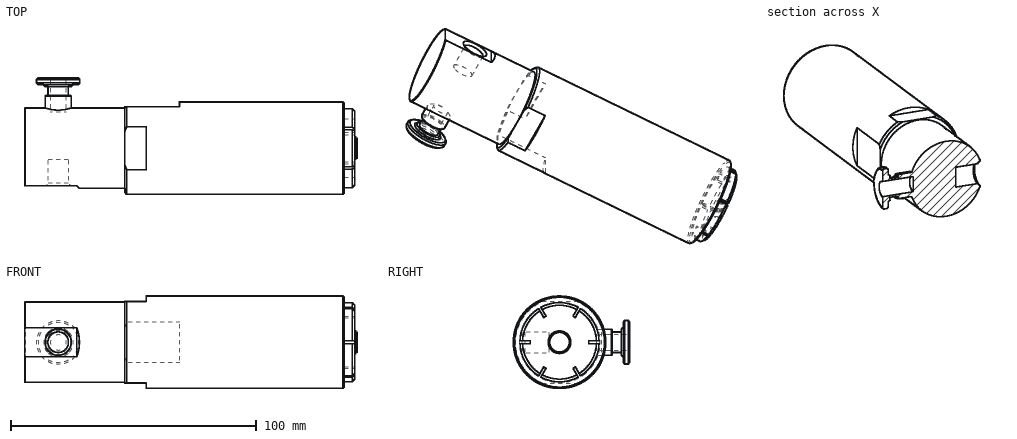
import cadquery as cq

LENGTH = 135.4
SLEEVE_START = 40.7
SLEEVE_END = 130.0
NUT_END = 134.3
HUB_STEP = 134.7
PORT_X = 13.7

BARREL_DIA = 32.8
BARREL_EDGE = 0.3
SLEEVE_DIA = 37.6
SLEEVE_FRONT_EDGE = 0.8
SLEEVE_REAR_EDGE = 0.5
NUT_DIA = 32.2
NUT_EDGE = 1.1
HUB_DIA = 9.2
HUB_TIP_DIA = 8.0

SLOT_COUNT = 6
SLOT_WIDTH = 1.1
SLOT_FLOOR_DIA = 23.8

WRENCH_FLAT_HEIGHT = 16.7
WRENCH_FLAT_END = 49.4
BACK_FLAT_DEPTH = 16.9
BACK_FLAT_END = 63.0

PORT_FLAT_DEPTH = 15.3
PORT_FLAT_END = 21.3
PORT_DIA = 8.4
PORT_MOUTH_DIA = 10.7
PORT_DEPTH = 10.8

FITTING_DIA = 10.7
FITTING_NECK_DIA = 8.4
FITTING_BORE_DIA = 6.4
FITTING_BORE_FLOOR = 14.9
FITTING_BASE_TOP = 21.5
FITTING_BASE_EDGE = 0.4
FLANGE_COLLAR_BOTTOM = 25.0
FLANGE_BOTTOM = 25.9
FLANGE_TOP = 28.5
FLANGE_DIA = 17.7
FLANGE_CONE_DIA = 11.9
FLANGE_EDGE = 0.7


def cylinder_x(dia, start, end):
    """Round bar on the X axis between two stations."""
    return cq.Workplane("YZ", origin=(start, 0, 0)).circle(dia / 2).extrude(end - start)


def cylinder_y(dia, start, end):
    """Round bar on the port axis between two Y positions."""
    plane = cq.Plane(origin=(PORT_X, start, 0), xDir=(1, 0, 0), normal=(0, 1, 0))
    return cq.Workplane(plane).circle(dia / 2).extrude(end - start)


def cone_y(start_dia, start, end_dia, end):
    """Round taper on the port axis between two Y positions."""
    base = cq.Vector(PORT_X, start, 0)
    taper = cq.Solid.makeCone(start_dia / 2, end_dia / 2, end - start, base, cq.Vector(0, 1, 0))
    return cq.Workplane(taper)


def make_barrel():
    """Front barrel with the flat and its sloped run-out on the -Y side."""
    barrel = cylinder_x(BARREL_DIA, 0, SLEEVE_END).faces("<X").chamfer(BARREL_EDGE)
    reach = BARREL_DIA
    run_out = reach - PORT_FLAT_DEPTH
    flat = (
        cq.Workplane("XY", origin=(0, 0, -reach / 2))
        .moveTo(0, -PORT_FLAT_DEPTH)
        .lineTo(PORT_FLAT_END, -PORT_FLAT_DEPTH)
        .lineTo(PORT_FLAT_END + run_out, -reach)
        .lineTo(0, -reach)
        .close()
        .extrude(reach)
    )
    return barrel.cut(flat)


def make_sleeve():
    """Main sleeve with two wrench flats and one longer flat on the +Y side."""
    sleeve = cylinder_x(SLEEVE_DIA, SLEEVE_START, SLEEVE_END)
    sleeve = sleeve.faces("<X").chamfer(SLEEVE_FRONT_EDGE).faces(">X").chamfer(SLEEVE_REAR_EDGE)
    wrench_gap = cq.Workplane("XY").box(
        WRENCH_FLAT_END, SLEEVE_DIA, SLEEVE_DIA, centered=(False, True, False)
    )
    for angle in (0, 180):
        cutter = wrench_gap.translate((0, 0, WRENCH_FLAT_HEIGHT))
        sleeve = sleeve.cut(cutter.rotate((0, 0, 0), (1, 0, 0), angle))
    back_gap = cq.Workplane("XY", origin=(0, BACK_FLAT_DEPTH, 0)).box(
        BACK_FLAT_END, SLEEVE_DIA, SLEEVE_DIA, centered=(False, False, True)
    )
    return sleeve.cut(back_gap)


def make_nut():
    """Slotted rear nut with a stepped hub."""
    nut = cylinder_x(NUT_DIA, SLEEVE_END, NUT_END).faces(">X").chamfer(NUT_EDGE)
    slot = cq.Workplane("XY", origin=(SLEEVE_END, SLOT_FLOOR_DIA / 2, 0)).box(
        NUT_END - SLEEVE_END, NUT_DIA, SLOT_WIDTH, centered=(False, False, True)
    )
    for i in range(SLOT_COUNT):
        nut = nut.cut(slot.rotate((0, 0, 0), (1, 0, 0), i * 360 / SLOT_COUNT))
    hub = cylinder_x(HUB_DIA, SLEEVE_END, HUB_STEP)
    hub_tip = cylinder_x(HUB_TIP_DIA, SLEEVE_END, LENGTH)
    return nut.union(hub).union(hub_tip)


def make_fitting():
    """Flanged tube fitting standing on the +Y side of the barrel."""
    base = cylinder_y(FITTING_DIA, 0, FITTING_BASE_TOP).faces(">Y").chamfer(FITTING_BASE_EDGE)
    neck = cylinder_y(FITTING_NECK_DIA, 0, FLANGE_TOP)
    collar = cone_y(FITTING_DIA, FLANGE_COLLAR_BOTTOM, FLANGE_CONE_DIA, FLANGE_BOTTOM)
    flange = cylinder_y(FLANGE_DIA, FLANGE_BOTTOM, FLANGE_TOP)
    flange = flange.faces("<Y or >Y").edges().chamfer(FLANGE_EDGE)
    return base.union(neck).union(collar).union(flange)


def make_port():
    """Blind port with a 45 degree countersink, opening on the barrel flat."""
    mouth_depth = (PORT_MOUTH_DIA - PORT_DIA) / 2
    hole = cylinder_y(PORT_DIA, -PORT_FLAT_DEPTH, PORT_DEPTH - PORT_FLAT_DEPTH)
    mouth = cone_y(PORT_MOUTH_DIA, -PORT_FLAT_DEPTH, PORT_DIA, mouth_depth - PORT_FLAT_DEPTH)
    return hole.union(mouth)


result = make_barrel().union(make_sleeve()).union(make_nut()).union(make_fitting())
result = result.cut(make_port())
result = result.cut(cylinder_y(FITTING_BORE_DIA, FITTING_BORE_FLOOR, FLANGE_TOP))